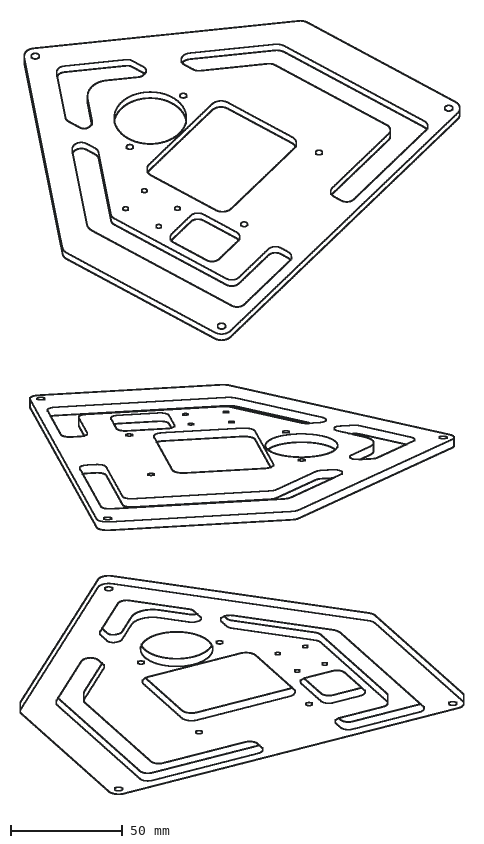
import cadquery as cq
import math

HALF_SIZE = 90.0
THICKNESS = 4.0
OUTER_RADIUS = 5.0

LONG_RIM_WIDTH = 18.0
RIGHT_RIM_WIDTH = 5.0
SLANT_RIM_WIDTH = 13.0
SLOT_WIDTH = 12.0
SLANT_SLOT_WIDTH = 11.5
SLOT_RADIUS = 4.0
SLANT_START_RADIUS = 5.0
SLANT_BEND_RADIUS = 6.0

OUTER_LINE = HALF_SIZE - SLANT_RIM_WIDTH * math.sqrt(2)
INNER_LINE = OUTER_LINE - SLANT_SLOT_WIDTH * math.sqrt(2)
SLOT_OUTER_Y = HALF_SIZE - LONG_RIM_WIDTH
SLOT_INNER_Y = SLOT_OUTER_Y - SLOT_WIDTH
SLOT_RIGHT_X = HALF_SIZE - RIGHT_RIM_WIDTH
SLOT_INNER_X = SLOT_RIGHT_X - SLOT_WIDTH

BACK_SLOT_ENDS = (-30.0, 35.8, 10.0)
FRONT_SLOT_ENDS = (-35.7, 30.0, 30.0)

V_END_X = -37.1
V_END_Y = 23.7
V_END_RADIUS = 3.0
V_INNER_RADIUS = 10.0

ROUND_X = -18.5
ROUND_DIAMETER = 32.4
ROUND_SCREWS_X = -15.0
ROUND_SCREWS_Y = 20.0

WINDOW_X = 21.5
WINDOW_SIZE = (46.0, 57.0)
WINDOW_RADIUS = 5.0
WINDOW_SCREWS_X = 55.0
WINDOW_SCREWS_Y = 28.0
SCREW_DIAMETER = 3.0

PORT_CENTER = (45.8, -45.0)
PORT_SIZE = (26.4, 22.0)
PORT_RADIUS = 4.0
GRID_CENTER = (15.85, -45.0)
GRID_SPACING = (18.5, 14.0)
GRID_DIAMETER = 2.4

MOUNT_DIAMETER = 3.6
MOUNT_INSET = HALF_SIZE - OUTER_RADIUS
TIP_HOLE_X = -HALF_SIZE + OUTER_RADIUS * math.sqrt(2)


def prism(points):
    """Plate-thick prism over a closed polygon."""
    return cq.Workplane("XY").polyline(points).close().extrude(THICKNESS)


def round_corners(body, corners, radius):
    """Fillet the vertical edges that stand at the given corners."""
    reach = 0.1
    for x, y in corners:
        box = cq.selectors.BoxSelector(
            (x - reach, y - reach, -reach), (x + reach, y + reach, THICKNESS + reach)
        )
        body = body.edges("|Z").edges(box).fillet(radius)
    return body


def plate():
    outline = [
        (-HALF_SIZE, 0),
        (0, -HALF_SIZE),
        (HALF_SIZE, -HALF_SIZE),
        (HALF_SIZE, HALF_SIZE),
        (0, HALF_SIZE),
    ]
    return prism(outline).edges("|Z").fillet(OUTER_RADIUS)


def side_slot(ends, side):
    """Slot along the slant, the long edge and the right edge; side is +1 for +Y, -1 for -Y."""
    left_x, slant_y, right_y = ends
    left_outer = (left_x, side * (left_x + OUTER_LINE))
    left_inner = (left_x, side * slant_y)
    slant_end = (slant_y - INNER_LINE, side * slant_y)
    inner_bend = (SLOT_INNER_Y - INNER_LINE, side * SLOT_INNER_Y)
    inner_corner = (SLOT_INNER_X, side * SLOT_INNER_Y)
    right_inner = (SLOT_INNER_X, side * right_y)
    right_outer = (SLOT_RIGHT_X, side * right_y)
    outer_corner = (SLOT_RIGHT_X, side * SLOT_OUTER_Y)
    outer_bend = (SLOT_OUTER_Y - OUTER_LINE, side * SLOT_OUTER_Y)
    slot = prism([
        left_outer, left_inner, slant_end, inner_bend, inner_corner,
        right_inner, right_outer, outer_corner, outer_bend,
    ])
    slot = round_corners(slot, [left_outer], SLANT_START_RADIUS)
    slot = round_corners(slot, [outer_bend], SLANT_BEND_RADIUS)
    other_corners = [
        left_inner, slant_end, inner_bend, inner_corner, right_inner, right_outer, outer_corner,
    ]
    return round_corners(slot, other_corners, SLOT_RADIUS)


def v_slot():
    outer_tip = (-OUTER_LINE, 0)
    inner_tip = (-INNER_LINE, 0)
    arm_y = V_END_X + INNER_LINE
    slant_x = V_END_Y - OUTER_LINE
    slot = prism([
        outer_tip, (slant_x, V_END_Y), (V_END_X, V_END_Y), (V_END_X, arm_y),
        inner_tip, (V_END_X, -arm_y), (V_END_X, -V_END_Y), (slant_x, -V_END_Y),
    ])
    slot = round_corners(slot, [outer_tip], SLOT_RADIUS)
    slot = round_corners(slot, [inner_tip], V_INNER_RADIUS)
    for side in (1, -1):
        end_corners = [(slant_x, side * V_END_Y), (V_END_X, side * V_END_Y), (V_END_X, side * arm_y)]
        slot = round_corners(slot, end_corners, V_END_RADIUS)
    return slot


def rounded_window(center, size, radius):
    return (
        cq.Workplane("XY").center(*center).rect(*size).extrude(THICKNESS).edges("|Z").fillet(radius)
    )


def pins(points, diameter):
    """Cylinders that cut through holes at the given points."""
    return cq.Workplane("XY").pushPoints(points).circle(diameter / 2).extrude(THICKNESS)


def mirrored_pair(x, y):
    return [(x, y), (x, -y)]


mount_points = [(TIP_HOLE_X, 0)] + mirrored_pair(MOUNT_INSET, MOUNT_INSET)
screw_points = (
    mirrored_pair(ROUND_SCREWS_X, ROUND_SCREWS_Y) + mirrored_pair(WINDOW_SCREWS_X, WINDOW_SCREWS_Y)
)
grid_points = [
    (GRID_CENTER[0] + i * GRID_SPACING[0] / 2, GRID_CENTER[1] + j * GRID_SPACING[1] / 2)
    for i in (-1, 1)
    for j in (-1, 1)
]

cutters = [
    side_slot(BACK_SLOT_ENDS, 1),
    side_slot(FRONT_SLOT_ENDS, -1),
    v_slot(),
    pins([(ROUND_X, 0)], ROUND_DIAMETER),
    rounded_window((WINDOW_X, 0), WINDOW_SIZE, WINDOW_RADIUS),
    rounded_window(PORT_CENTER, PORT_SIZE, PORT_RADIUS),
    pins(mount_points, MOUNT_DIAMETER),
    pins(screw_points, SCREW_DIAMETER),
    pins(grid_points, GRID_DIAMETER),
]

result = plate()
for cutter in cutters:
    result = result.cut(cutter)